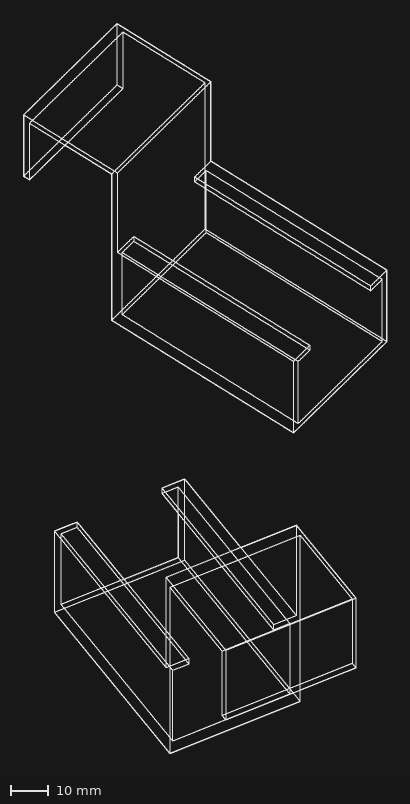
import cadquery as cq

length = 92.0
width = 40.0
height = 64.0

wall = 2.0

hook_length = 32.0
hook_drop = 26.0

channel_height = 30.4
lip_width = 7.0

back_plate_x = hook_length - wall
channel_length = length - back_plate_x


def block(x, y, z, x_size, y_size, z_size):
    """Box with its lowest corner at (x, y, z)."""
    return cq.Workplane("XY").box(x_size, y_size, z_size, centered=False).translate((x, y, z))


def make_hook():
    top = block(0, 0, height - wall, hook_length, width, wall)
    front_leg = block(0, 0, height - hook_drop, wall, width, hook_drop)
    back_plate = block(back_plate_x, 0, 0, wall, width, height)
    return top.union(front_leg).union(back_plate)


def make_channel():
    body = block(back_plate_x, 0, 0, channel_length, width, channel_height)
    cavity = block(
        hook_length, wall, wall,
        length - hook_length, width - 2 * wall, channel_height - 2 * wall,
    )
    top_slot = block(
        hook_length, lip_width, channel_height - wall,
        length - hook_length, width - 2 * lip_width, wall,
    )
    return body.cut(cavity).cut(top_slot)


result = make_hook().union(make_channel())